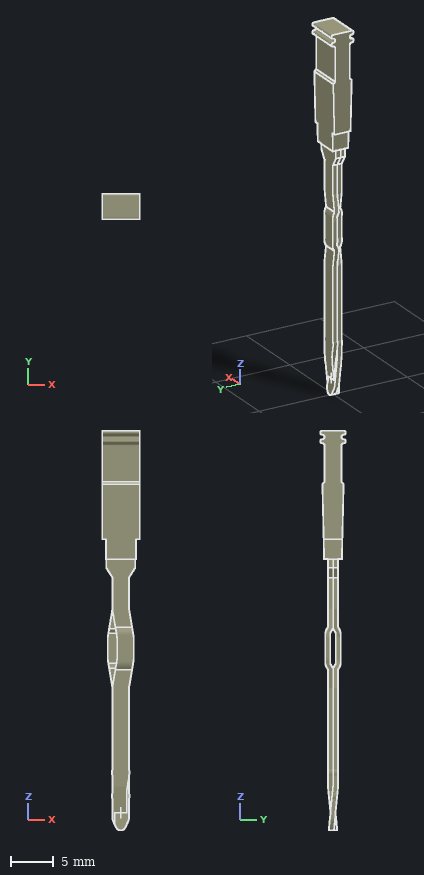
import cadquery as cq
import math

TOTAL_LENGTH = 46.63

CAP_WIDTH = 4.4
CAP_STEM_WIDTH = 3.5
CAP_LENGTH = 15.0
CAP_SHOULDER_Z = -12.7
GRIP_RADIUS = 0.25
GRIP_HALF_DEPTH = 1.5
WAIST_HALF_DEPTH = GRIP_HALF_DEPTH - 2 * GRIP_RADIUS
LEDGE_Z = -6.0
LEDGE_STEP = 0.25
CAP_BOTTOM_HALF_DEPTH = 1.05

WIRE_AXIS_X = -0.03
WIRE_THICKNESS = 0.61
HALF_WIDTH = 0.98
TOP_HALF_WIDTH = 1.7
NECK_START_Z = -16.0
NECK_END_Z = -17.15

EYE_Z = -25.4
SPREAD = 0.32
SPREAD_ANGLE = math.radians(30)
SPREAD_START = 2.47
SPREAD_BEND_RADIUS = 1.4
SLIDE = 0.55
SLIDE_START = 4.6
SLIDE_END = 1.3
SLIDE_BEND_RADIUS = 2.0

BARB_HEIGHT = 0.06
BARB_HALF_LENGTH = 0.35
UPPER_BARB_Z = -39.88
LOWER_BARB_Z = -42.6
TIP_HALF_WIDTH = 0.7
NARROW_END_Z = -42.0
CROSSING_START_Z = -41.5
CROSSING_SLOPE = 0.1
POINT_START_Z = -45.38
POINT_BEND_RADIUS = 1.2
NOSE_HALF_WIDTH = 0.55
NOSE_START_Z = -46.28

TIP_Z = -TOTAL_LENGTH


def make_cap():
    """Cap with two rounded grip ribs, a sloping ledge, a tapered lower part and a narrow stem."""
    r = GRIP_RADIUS
    rib_centre = GRIP_HALF_DEPTH - r
    half_blank = (
        cq.Workplane("YZ")
        .moveTo(0, 0)
        .lineTo(rib_centre, 0)
        .threePointArc((GRIP_HALF_DEPTH, -r), (rib_centre, -2 * r))
        .threePointArc((WAIST_HALF_DEPTH, -3 * r), (rib_centre, -4 * r))
        .threePointArc((GRIP_HALF_DEPTH, -5 * r), (rib_centre, -6 * r))
        .radiusArc((WAIST_HALF_DEPTH, -7 * r), -r)
        .lineTo(WAIST_HALF_DEPTH, LEDGE_Z)
        .lineTo(WAIST_HALF_DEPTH + LEDGE_STEP, LEDGE_Z - LEDGE_STEP)
        .lineTo(CAP_BOTTOM_HALF_DEPTH, -CAP_LENGTH)
        .lineTo(0, -CAP_LENGTH)
        .close()
        .extrude(CAP_WIDTH / 2, both=True)
    )
    blank = half_blank.union(half_blank.mirror("XZ"))
    stem_height = CAP_LENGTH + CAP_SHOULDER_Z
    side_cut_width = (CAP_WIDTH - CAP_STEM_WIDTH) / 2
    for side in (-1, 1):
        side_cut = cq.Workplane("XY").box(side_cut_width, 2 * GRIP_HALF_DEPTH, stem_height)
        blank = blank.cut(
            side_cut.translate(
                (side * (CAP_STEM_WIDTH + side_cut_width) / 2, 0, CAP_SHOULDER_Z - stem_height / 2)
            )
        )
    return blank


def slide_points(x):
    """Edge of a wire at x, offset by the slide along the eye, from top to bottom."""
    return [
        (x, EYE_Z + SLIDE_START),
        (x + SLIDE, EYE_Z + SLIDE_END),
        (x + SLIDE, EYE_Z - SLIDE_END),
        (x, EYE_Z - SLIDE_START),
    ]


def barb(side, z):
    """Low rounded barb on the +X (side 1) or -X (side -1) edge of the wire."""
    edge_x = side * HALF_WIDTH
    root_x = edge_x - side * BARB_HEIGHT
    return (
        cq.Workplane("XZ")
        .moveTo(root_x, z + BARB_HALF_LENGTH)
        .lineTo(edge_x, z + BARB_HALF_LENGTH)
        .threePointArc((edge_x + side * BARB_HEIGHT, z), (edge_x, z - BARB_HALF_LENGTH))
        .lineTo(root_x, z - BARB_HALF_LENGTH)
        .close()
        .extrude(CAP_WIDTH / 2, both=True)
    )


def wire_outline_blank():
    """Prism with the front outline of the wire: wide head, neck, slide in +X, barbs and narrowed tip."""
    right = [
        (TOP_HALF_WIDTH, -CAP_LENGTH),
        (TOP_HALF_WIDTH, NECK_START_Z),
        (HALF_WIDTH, NECK_END_Z),
        *slide_points(HALF_WIDTH),
        (HALF_WIDTH, UPPER_BARB_Z - BARB_HALF_LENGTH),
        (TIP_HALF_WIDTH, NARROW_END_Z),
        (TIP_HALF_WIDTH, TIP_Z),
    ]
    left = [
        (-TOP_HALF_WIDTH, -CAP_LENGTH),
        (-TOP_HALF_WIDTH, NECK_START_Z),
        (-HALF_WIDTH, NECK_END_Z),
        *slide_points(-HALF_WIDTH),
        (-HALF_WIDTH, TIP_Z),
    ]
    outline = cq.Workplane("XZ").polyline(right + left[::-1]).close()
    eye_reach = (SLIDE_START + SLIDE_END) / 2
    eye = cq.selectors.BoxSelector(
        (-CAP_WIDTH, -CAP_WIDTH, EYE_Z - eye_reach), (CAP_WIDTH, CAP_WIDTH, EYE_Z + eye_reach)
    )
    blank = outline.extrude(CAP_WIDTH / 2, both=True).edges(eye).edges("|Y").fillet(SLIDE_BEND_RADIUS)
    for side, z in ((1, UPPER_BARB_Z), (-1, UPPER_BARB_Z), (-1, LOWER_BARB_Z)):
        blank = blank.union(barb(side, z))
    return blank


def spread_points(y, bend_shift):
    """Face of a wire at y, spread towards -Y along the eye, from top to bottom."""
    start = SPREAD_START - bend_shift
    end = start - SPREAD / math.tan(SPREAD_ANGLE)
    return [
        (y, EYE_Z + start),
        (y - SPREAD, EYE_Z + end),
        (y - SPREAD, EYE_Z - end),
        (y, EYE_Z - start),
    ]


def wire_side_blank():
    """Bent strip of the wire in Y and Z: spread at the eye, and leaning across Y = 0 at the tip."""
    lean = CROSSING_SLOPE * (CROSSING_START_Z - TIP_Z)
    bend_shift = WIRE_THICKNESS * math.tan(SPREAD_ANGLE / 2)
    inner = [
        (0, -CAP_LENGTH),
        *spread_points(0, bend_shift),
        (0, CROSSING_START_Z),
        (lean, TIP_Z),
    ]
    outer = [
        (-WIRE_THICKNESS, -CAP_LENGTH),
        *spread_points(-WIRE_THICKNESS, 0),
        (-WIRE_THICKNESS, CROSSING_START_Z),
        (lean - WIRE_THICKNESS, TIP_Z),
    ]
    strip = cq.Workplane("YZ").polyline(inner + outer[::-1]).close().extrude(CAP_WIDTH / 2, both=True)
    outer_y = -WIRE_THICKNESS - SPREAD
    outer_bends = cq.selectors.BoxSelector(
        (-CAP_WIDTH, outer_y - SPREAD / 2, EYE_Z - SPREAD_START),
        (CAP_WIDTH, outer_y + SPREAD / 2, EYE_Z + SPREAD_START),
    )
    return strip.edges(outer_bends).edges("|X").fillet(SPREAD_BEND_RADIUS)


def tip_envelope():
    """Block around the wires, narrowing below the lowest barb to the rounded point."""
    block_half_width = CAP_WIDTH / 2
    narrow_z = LOWER_BARB_Z - 2 * BARB_HALF_LENGTH
    envelope = (
        cq.Workplane("XZ")
        .moveTo(-block_half_width, -CAP_LENGTH)
        .lineTo(block_half_width, -CAP_LENGTH)
        .lineTo(block_half_width, narrow_z)
        .lineTo(HALF_WIDTH, narrow_z)
        .lineTo(HALF_WIDTH, POINT_START_Z)
        .lineTo(NOSE_HALF_WIDTH, NOSE_START_Z)
        .threePointArc((0, TIP_Z), (-NOSE_HALF_WIDTH, NOSE_START_Z))
        .lineTo(-HALF_WIDTH, POINT_START_Z)
        .lineTo(-HALF_WIDTH, narrow_z)
        .lineTo(-block_half_width, narrow_z)
        .close()
        .extrude(block_half_width, both=True)
    )
    corners = cq.selectors.BoxSelector(
        (-CAP_WIDTH, -CAP_WIDTH, POINT_START_Z - HALF_WIDTH / 2),
        (CAP_WIDTH, CAP_WIDTH, POINT_START_Z + HALF_WIDTH / 2),
    )
    return envelope.edges(corners).edges("|Y").fillet(POINT_BEND_RADIUS)


def half_turn(body):
    """Body turned by 180 degrees about Z."""
    return body.rotate((0, 0, 0), (0, 0, 1), 180)


def make_wire():
    """Front wire about Z; where it crosses its half-turned twin it is halved on the +X side."""
    wire = wire_outline_blank().intersect(wire_side_blank()).intersect(tip_envelope())
    tip_length = CROSSING_START_Z - TIP_Z
    lap_side = cq.Workplane("XY").box(CAP_WIDTH, CAP_WIDTH, tip_length)
    lap_side = lap_side.translate((CAP_WIDTH / 2, 0, TIP_Z + tip_length / 2))
    return wire.cut(half_turn(wire).intersect(lap_side))


cap = make_cap()
front_wire = make_wire()
back_wire = half_turn(front_wire)
wires = [wire.translate((WIRE_AXIS_X, 0, 0)) for wire in (front_wire, back_wire)]

result = cq.Compound.makeCompound([cap.val(), *[wire.val() for wire in wires]])